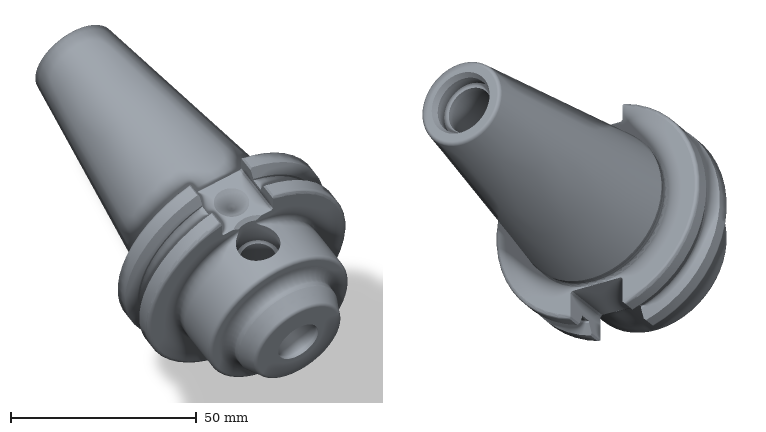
import cadquery as cq
import math


gauge_diameter = 44.45
taper_length = 68.25
taper_ratio = 7 / 24
taper_end_diameter = gauge_diameter - taper_length * taper_ratio
edge_radius = 1.0

relief_diameter = 43.6
relief_chamfer_length = 1.5

flange_start = 3.175
flange_width = 15.875
flange_end = flange_start + flange_width
flange_middle = flange_start + flange_width / 2
flange_diameter = 63.5
relief_fillet = 0.7
groove_floor_diameter = 56.4
groove_floor_width = 3.7
groove_mouth_width = 7.1
groove_wall_angle = 30

body_diameter = gauge_diameter
body_end = 35.05
nose_diameter = 31.75
nose_end = 44.45
nose_fillet = 2.8
nose_cone_start = 39.25
nose_cone_angle = 24
nose_cone_drop = (nose_end - nose_cone_start) * math.tan(math.radians(nose_cone_angle))
nose_end_diameter = nose_diameter - 2 * nose_cone_drop

tool_bore_diameter = 12.7
tool_bore_start = 0.0
thread_bore_diameter = 13.39
counterbore_diameter = 16.3
counterbore_depth = 5.0
counterbore_mouth_diameter = 18.15
counterbore_chamfer_angle = 30

slot_width = 16.3
slot_chamfer = 0.5
top_slot_floor = 25.0
bottom_slot_floor = 22.5

drill_mark_diameter = 9.53
drill_mark_angle = 118

screw_x = 24.4
screw_hole_diameter = 9.73
screw_recess_diameter = 12.0
screw_recess_floor = 15.0
screw_rim_chamfer = 1.0


def revolve_profile(profile):
    return profile.close().revolve(360, (0, 0, 0), (1, 0, 0))


def make_shank():
    profile = (
        cq.Workplane("XY")
        .moveTo(-taper_length, 0)
        .lineTo(-taper_length, taper_end_diameter / 2)
        .lineTo(0, gauge_diameter / 2)
        .lineTo(relief_chamfer_length, relief_diameter / 2)
        .lineTo(flange_middle, relief_diameter / 2)
        .lineTo(flange_middle, 0)
    )
    return revolve_profile(profile)


def make_nose():
    profile = (
        cq.Workplane("XY")
        .moveTo(flange_middle, 0)
        .lineTo(flange_middle, body_diameter / 2)
        .lineTo(body_end, body_diameter / 2)
        .lineTo(body_end, nose_diameter / 2)
        .lineTo(nose_cone_start, nose_diameter / 2)
        .lineTo(nose_end, nose_end_diameter / 2)
        .lineTo(nose_end, 0)
    )
    return revolve_profile(profile)


def make_flange():
    flange = (
        cq.Workplane("YZ", origin=(flange_start, 0, 0))
        .circle(flange_diameter / 2)
        .extrude(flange_width)
        .edges()
        .fillet(edge_radius)
    )
    return flange.cut(make_groove())


def make_groove():
    half_floor = groove_floor_width / 2
    half_mouth = groove_mouth_width / 2
    wall_depth = (half_mouth - half_floor) / math.tan(math.radians(groove_wall_angle))
    rim_radius = flange_diameter / 2
    wall_foot_radius = rim_radius - wall_depth
    clear_radius = rim_radius + edge_radius
    profile = (
        cq.Workplane("XY")
        .moveTo(flange_middle - half_floor, groove_floor_diameter / 2)
        .lineTo(flange_middle - half_floor, wall_foot_radius)
        .lineTo(flange_middle - half_mouth, rim_radius)
        .lineTo(flange_middle - half_mouth, clear_radius)
        .lineTo(flange_middle + half_mouth, clear_radius)
        .lineTo(flange_middle + half_mouth, rim_radius)
        .lineTo(flange_middle + half_floor, wall_foot_radius)
        .lineTo(flange_middle + half_floor, groove_floor_diameter / 2)
    )
    return revolve_profile(profile)


def round_circle(solid, x, diameter, radius):
    """Rounds the one circular edge of the given diameter that lies at x."""
    margin = 0.01
    reach = diameter / 2 + margin
    at_x = cq.selectors.BoxSelector(
        (x - margin, -reach, -reach), (x + margin, reach, reach), boundingbox=True
    )
    largest = cq.selectors.RadiusNthSelector(-1)
    return solid.edges(at_x).edges(largest).fillet(radius)


def round_turned_edges(turned):
    turned = round_circle(turned, -taper_length, taper_end_diameter, edge_radius)
    turned = round_circle(turned, flange_start, relief_diameter, relief_fillet)
    turned = round_circle(turned, flange_end, body_diameter, edge_radius)
    turned = round_circle(turned, body_end, body_diameter, edge_radius)
    turned = round_circle(turned, body_end, nose_diameter, nose_fillet)
    turned = round_circle(turned, nose_cone_start, nose_diameter, edge_radius)
    return round_circle(turned, nose_end, nose_end_diameter, edge_radius)


def make_bore():
    mouth_widening = (counterbore_mouth_diameter - counterbore_diameter) / 2
    chamfer_depth = mouth_widening / math.tan(math.radians(counterbore_chamfer_angle))
    profile = (
        cq.Workplane("XY")
        .moveTo(-taper_length, 0)
        .lineTo(-taper_length, counterbore_mouth_diameter / 2)
        .lineTo(-taper_length + chamfer_depth, counterbore_diameter / 2)
        .lineTo(-taper_length + counterbore_depth, counterbore_diameter / 2)
        .lineTo(-taper_length + counterbore_depth, thread_bore_diameter / 2)
        .lineTo(tool_bore_start, thread_bore_diameter / 2)
        .lineTo(tool_bore_start, tool_bore_diameter / 2)
        .lineTo(nose_end, tool_bore_diameter / 2)
        .lineTo(nose_end, 0)
    )
    return revolve_profile(profile)


def make_slot(floor_height, side):
    """Slot across the flange and its neck fillets; side is +1 for the top and -1 for the bottom.

    The floor corners are bevelled and the walls flare outward at the flange rim.
    """
    length = flange_width + 2 * edge_radius
    wall = slot_width / 2
    rim_height = math.sqrt((flange_diameter / 2) ** 2 - (wall + slot_chamfer) ** 2)
    half_outline = [
        (wall - slot_chamfer, floor_height),
        (wall, floor_height + slot_chamfer),
        (wall, rim_height - slot_chamfer),
        (wall + 2 * slot_chamfer, rim_height + slot_chamfer),
        (wall + 2 * slot_chamfer, flange_diameter / 2),
    ]
    outline = half_outline + [(-y, z) for y, z in reversed(half_outline)]
    return (
        cq.Workplane("YZ", origin=(flange_start - edge_radius, 0, 0))
        .polyline([(y, side * z) for y, z in outline])
        .close()
        .extrude(length)
    )


def make_drill_mark():
    radius = drill_mark_diameter / 2
    depth = radius / math.tan(math.radians(drill_mark_angle / 2))
    cone = cq.Solid.makeCone(
        0, radius, depth, cq.Vector(flange_middle, 0, top_slot_floor - depth), cq.Vector(0, 0, 1)
    )
    return cq.Workplane("XY").add(cone)


def make_screw_hole():
    """Hole down to the bore, with a recess whose rim is bevelled where it meets the slot floor."""
    hole_radius = screw_hole_diameter / 2
    recess_radius = screw_recess_diameter / 2
    return (
        cq.Workplane("XZ")
        .lineTo(hole_radius, 0)
        .lineTo(hole_radius, screw_recess_floor)
        .lineTo(recess_radius, screw_recess_floor)
        .lineTo(recess_radius, top_slot_floor - screw_rim_chamfer)
        .lineTo(recess_radius + screw_rim_chamfer, top_slot_floor)
        .lineTo(0, top_slot_floor)
        .close()
        .revolve(360, (0, 0, 0), (0, 1, 0))
        .translate((screw_x, 0, 0))
    )


turned = round_turned_edges(make_shank().union(make_flange()).union(make_nose()))
result = (
    turned.cut(make_bore())
    .cut(make_slot(top_slot_floor, 1))
    .cut(make_slot(bottom_slot_floor, -1))
    .cut(make_drill_mark())
    .cut(make_screw_hole())
)